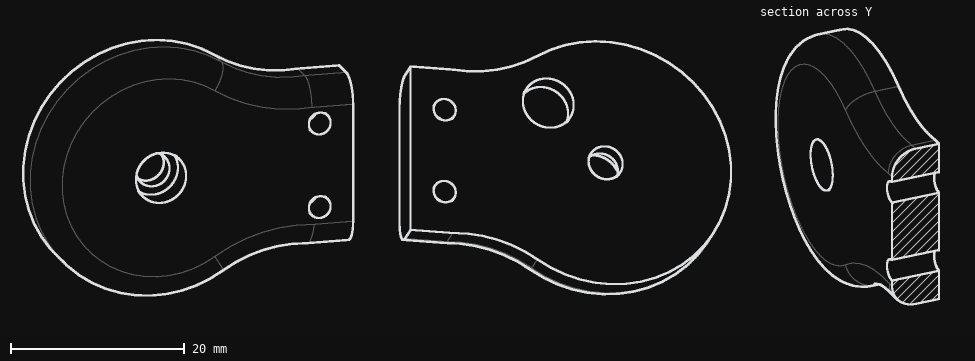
import cadquery as cq
import math

length = 37.8
thickness = 6.0
disc_diameter = 29.63
tab_width = 20.0
tab_straight = 4.95
neck_end = 14.93
neck_radius = 15.87
edge_radius = 3.0

pivot_diameter = 4.0
recess_diameter = 6.0
recess_floor = 2.5
screw_diameter = 2.6
screw_spacing = 10.0
screw_end_distance = 4.0
pocket_diameter = 6.0
pocket_depth = 3.0
pocket_offset = 6.75

disc_radius = disc_diameter / 2
half_tab = tab_width / 2
tab_end = length - disc_radius
neck_start_y = tab_end - tab_straight
neck_end_y = tab_end - neck_end
neck_end_z = math.sqrt(disc_radius**2 - neck_end_y**2)


def plate():
    """Disc blended into a straight tab by two concave necks."""
    run = neck_start_y - neck_end_y
    rise = neck_end_z - half_tab
    chord = math.hypot(run, rise)
    sagitta = neck_radius - math.sqrt(neck_radius**2 - (chord / 2) ** 2)
    neck_mid_y = (neck_start_y + neck_end_y) / 2 - sagitta * rise / chord
    neck_mid_z = (half_tab + neck_end_z) / 2 - sagitta * run / chord
    return (
        cq.Workplane("YZ")
        .moveTo(tab_end, -half_tab)
        .lineTo(tab_end, half_tab)
        .lineTo(neck_start_y, half_tab)
        .threePointArc((neck_mid_y, neck_mid_z), (neck_end_y, neck_end_z))
        .threePointArc((-disc_radius, 0), (neck_end_y, -neck_end_z))
        .threePointArc((neck_mid_y, -neck_mid_z), (neck_start_y, -half_tab))
        .close()
        .extrude(thickness)
    )


def hole(y, z, diameter, depth, start=0):
    """Cutter for a round hole running toward +X, starting at X = start."""
    return cq.Workplane("YZ", origin=(start, y, z)).circle(diameter / 2).extrude(depth)


result = plate().faces(">X").edges("not(>Y)").fillet(edge_radius)

result = result.cut(hole(0, 0, pivot_diameter, thickness))
result = result.cut(hole(0, 0, recess_diameter, thickness - recess_floor, recess_floor))

for side in (-1, 1):
    screw_z = side * screw_spacing / 2
    result = result.cut(hole(tab_end - screw_end_distance, screw_z, screw_diameter, thickness))

result = result.cut(hole(pocket_offset, pocket_offset, pocket_diameter, pocket_depth))